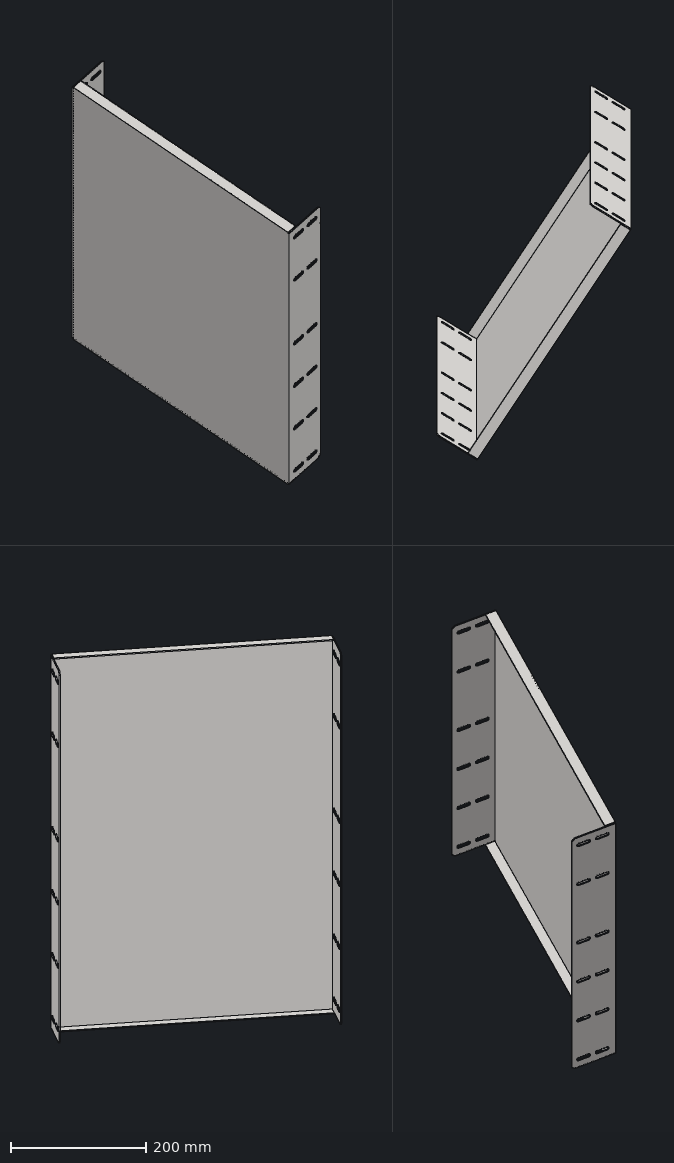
import cadquery as cq

WIDTH = 425.0
DEPTH = 71.0
HEIGHT = 594.0
SHEET = 1.85

LIP_DEPTH = 17.0
FLANGE_CORNER_CHAMFER = 5.0

SLOT_LENGTH = 22.0
SLOT_HEIGHT = 7.0
SLOT_COLUMNS = (22.0, 52.0)
SLOT_END_MARGIN = 22.0
ROW_STEPS = (0, 1, 2, 3, 4.5, 5.5)
ROW_PITCH = (HEIGHT - 2 * SLOT_END_MARGIN) / ROW_STEPS[-1]


def block(width, depth, height):
    """Block centred on X and Z that starts at the front face."""
    return cq.Workplane("XY").box(width, depth, height, centered=(True, False, True))


def side_channel():
    """Front sheet with the two side flanges, one sheet thickness short at the top and bottom."""
    outer = block(WIDTH, DEPTH, HEIGHT - 2 * SHEET)
    hollow = block(WIDTH - 2 * SHEET, DEPTH, HEIGHT).translate((0, SHEET, 0))
    return outer.cut(hollow).edges("|X and >Y").chamfer(FLANGE_CORNER_CHAMFER)


def lip_channel():
    """Front sheet with the top and bottom lips, one sheet thickness short at each side."""
    width = WIDTH - 2 * SHEET
    outer = block(width, LIP_DEPTH, HEIGHT)
    hollow = block(width, LIP_DEPTH, HEIGHT - 2 * SHEET).translate((0, SHEET, 0))
    return outer.cut(hollow)


def flange_slots():
    """Bars along X that cut the slots in both side flanges."""
    first_row = SLOT_END_MARGIN - HEIGHT / 2
    centres = [(y, first_row + step * ROW_PITCH) for y in SLOT_COLUMNS for step in ROW_STEPS]
    return (
        cq.Workplane("YZ")
        .pushPoints(centres)
        .slot2D(SLOT_LENGTH, SLOT_HEIGHT)
        .extrude(WIDTH, both=True)
    )


result = side_channel().union(lip_channel()).cut(flange_slots())